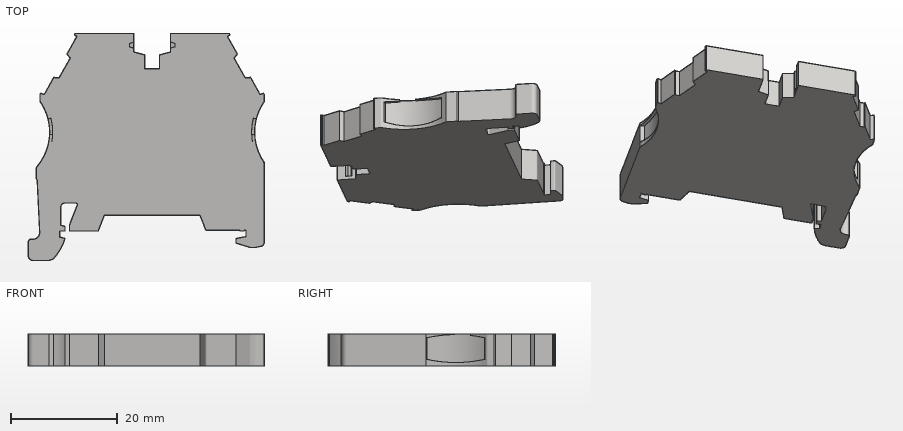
import cadquery as cq
import math

THICKNESS = 6.0
LENGTH = 44.2
TOP = 42.5
FLANK = 21.0
FOOT_LEFT = FLANK - LENGTH
SHOULDER_LEFT = -21.7

RAIL_FACE = 5.52
RAIL_FACE_RIGHT = 5.65
SEAT_HALF_WIDTH = 8.95
SEAT_ROOF = 8.5
HOOK_TIP_X = 15.65
HOOK_BOTTOM = 2.45
FLANK_CORNER = (FLANK, 2.8)
RELIEF_LEFT = -17.05
RELIEF_RIGHT = -13.9
RELIEF_ROOF = 10.75
FOOT_TOP = 4.02
FOOT_NECK = (-21.0, FOOT_TOP)

GRIP_RADIUS = 10.0
GRIP_CENTRE_X = 29.15
GRIP_CENTRE_Y = 24.05

POCKET_DEPTH = 0.57
POCKET_CENTRE_Y = 23.85
POCKET_MOUTH_HALF = 5.52
POCKET_FLOOR_HALF = 5.35
POCKET_CENTRE_Z = 3.25
POCKET_END_HALF_HEIGHT = 2.0
POCKET_MID_HALF_HEIGHT = 2.6
OPENING_LOW_Y = 23.6
OPENING_HIGH_Y = 26.6

SLOT_HALF_WIDTH = 3.4
RECESS_DEPTH = 0.85
RECESS_MOUTH_Y = (39.75, 40.9)
RECESS_FLOOR_Y = (40.0, 40.6)
RECESS_FLOOR_Z = 0.65


def grip_x(y, radius=GRIP_RADIUS):
    """Distance from the symmetry axis to a circle about the right grip centre, at height y."""
    return GRIP_CENTRE_X - math.sqrt(radius**2 - (y - GRIP_CENTRE_Y) ** 2)


GRIP_TOP_Y = GRIP_CENTRE_Y + math.sqrt(GRIP_RADIUS**2 - (GRIP_CENTRE_X - FLANK) ** 2)
UPPER_RIGHT = [
    (1.35, 35.95),
    (1.35, 38.5),
    (SLOT_HALF_WIDTH, 39.05),
    (SLOT_HALF_WIDTH, TOP),
    (14.35, TOP),
    (14.55, 42.3),
    (14.45, 42.12),
    (14.1, 41.95),
    (15.95, 38.65),
    (15.35, 37.9),
    (17.4, 34.2),
    (18.15, 34.2),
    (18.4, 34.35),
    (20.2, 31.07),
    (20.8, 31.35),
    (FLANK, 31.07),
    (FLANK, GRIP_TOP_Y),
]
UPPER_LEFT = [(-x, y) for x, y in reversed(UPPER_RIGHT)]

GRIP_MIDDLE = (GRIP_CENTRE_X - GRIP_RADIUS, GRIP_CENTRE_Y)
GRIP_MIDDLE_LEFT = (-GRIP_MIDDLE[0], GRIP_CENTRE_Y)
GRIP_END_RIGHT = (FLANK, 2 * GRIP_CENTRE_Y - GRIP_TOP_Y)
GRIP_END_LEFT_Y = 17.65

HOOK_AND_SEAT = [
    FLANK_CORNER,
    (19.2, HOOK_BOTTOM),
    (18.35, HOOK_BOTTOM),
    (HOOK_TIP_X, 3.25),
    (HOOK_TIP_X, 4.15),
    (17.5, 4.5),
    (17.5, RAIL_FACE_RIGHT),
    (17.2, RAIL_FACE_RIGHT),
    (17.1, RAIL_FACE),
    (16.5, RAIL_FACE),
    (16.4, RAIL_FACE_RIGHT),
    (10.05, RAIL_FACE_RIGHT),
    (SEAT_HALF_WIDTH, SEAT_ROOF),
    (-SEAT_HALF_WIDTH, SEAT_ROOF),
    (-10.08, RAIL_FACE),
    (-15.45, RAIL_FACE),
    (-15.45, 6.7),
    (RELIEF_RIGHT, RELIEF_ROOF),
    (RELIEF_LEFT, RELIEF_ROOF),
    (RELIEF_LEFT, 6.65),
    (-16.25, 6.4),
    (-16.25, RAIL_FACE),
    (-17.25, RAIL_FACE),
    (-17.25, 4.4),
    (-16.25, 4.15),
]

FOOT_NOSE_MIDDLE = (-17.2, 2.05)
FOOT_NOSE_END = (-18.48, 0.3)
FOOT_AND_FLANK = [
    (-19.25, 0),
    (FOOT_LEFT, 0),
    (FOOT_LEFT, FOOT_TOP),
    FOOT_NECK,
    (-21.53, 15.05),
    (SHOULDER_LEFT, 15.35),
    (SHOULDER_LEFT, 17.35),
    (-grip_x(GRIP_END_LEFT_Y), GRIP_END_LEFT_Y),
]

ROUNDED_CORNERS = [
    (FLANK_CORNER, 0.9),
    ((HOOK_TIP_X, 3.25), 0.3),
    ((HOOK_TIP_X, 4.15), 0.3),
    ((10.05, RAIL_FACE_RIGHT), 0.35),
    ((RELIEF_RIGHT, RELIEF_ROOF), 0.2),
    ((RELIEF_LEFT, RELIEF_ROOF), 0.7),
    ((FOOT_LEFT, 0), 0.97),
    ((FOOT_LEFT, FOOT_TOP), 0.55),
    (FOOT_NECK, 1.25),
    ((FLANK, GRIP_TOP_Y), 0.5),
    ((-FLANK, GRIP_TOP_Y), 0.5),
]


def plate():
    """The full outline extruded to the plate thickness, with its corners rounded."""
    outline = (
        cq.Workplane("XY")
        .polyline(UPPER_LEFT + UPPER_RIGHT)
        .threePointArc(GRIP_MIDDLE, GRIP_END_RIGHT)
    )
    for point in HOOK_AND_SEAT:
        outline = outline.lineTo(*point)
    outline = outline.threePointArc(FOOT_NOSE_MIDDLE, FOOT_NOSE_END)
    for point in FOOT_AND_FLANK:
        outline = outline.lineTo(*point)
    outline = outline.threePointArc(GRIP_MIDDLE_LEFT, UPPER_LEFT[0]).close()
    body = outline.extrude(THICKNESS)
    for (x, y), radius in ROUNDED_CORNERS:
        corner = cq.selectors.NearestToPointSelector((x, y, THICKNESS / 2))
        body = body.edges("|Z").edges(corner).fillet(radius)
    return body


def grip_pocket():
    """Pocket of the right grip: arched edges, and a short opening through the upper face."""
    floor_radius = GRIP_RADIUS + POCKET_DEPTH
    floor_low = POCKET_CENTRE_Y - POCKET_FLOOR_HALF
    floor_high = POCKET_CENTRE_Y + POCKET_FLOOR_HALF
    mouth_low = POCKET_CENTRE_Y - POCKET_MOUTH_HALF
    mouth_high = POCKET_CENTRE_Y + POCKET_MOUTH_HALF
    plan = (
        cq.Workplane("XY")
        .moveTo(FLANK, mouth_low)
        .lineTo(grip_x(floor_low, floor_radius), floor_low)
        .threePointArc(
            (GRIP_CENTRE_X - floor_radius, GRIP_CENTRE_Y),
            (grip_x(floor_high, floor_radius), floor_high),
        )
        .lineTo(FLANK, mouth_high)
        .close()
        .extrude(THICKNESS)
    )
    end_low = POCKET_CENTRE_Z - POCKET_END_HALF_HEIGHT
    end_high = POCKET_CENTRE_Z + POCKET_END_HALF_HEIGHT
    arched = (
        cq.Workplane("YZ")
        .moveTo(mouth_low, end_low)
        .threePointArc(
            (POCKET_CENTRE_Y, POCKET_CENTRE_Z - POCKET_MID_HALF_HEIGHT), (mouth_high, end_low)
        )
        .lineTo(mouth_high, end_high)
        .threePointArc(
            (POCKET_CENTRE_Y, POCKET_CENTRE_Z + POCKET_MID_HALF_HEIGHT), (mouth_low, end_high)
        )
        .close()
        .extrude(FLANK)
    )
    opening_size = (FLANK, OPENING_HIGH_Y - OPENING_LOW_Y, THICKNESS - POCKET_CENTRE_Z)
    opening = (
        cq.Workplane("XY")
        .box(*opening_size, centered=False)
        .translate((0, OPENING_LOW_Y, POCKET_CENTRE_Z))
    )
    return plan.intersect(arched.union(opening))


def slot_recess():
    """Tapered recess in the right wall of the top slot, open at the upper face."""
    floor_x = SLOT_HALF_WIDTH + RECESS_DEPTH
    mouth_low, mouth_high = RECESS_MOUTH_Y
    floor_low, floor_high = RECESS_FLOOR_Y
    corners = [
        (SLOT_HALF_WIDTH, mouth_high),
        (floor_x, floor_high),
        (floor_x, floor_low),
        (SLOT_HALF_WIDTH, mouth_low),
    ]
    return (
        cq.Workplane("XY", origin=(0, 0, RECESS_FLOOR_Z))
        .polyline(corners)
        .close()
        .extrude(THICKNESS - RECESS_FLOOR_Z)
    )


result = plate()
for cutter in (grip_pocket(), slot_recess()):
    result = result.cut(cutter).cut(cutter.mirror("YZ"))